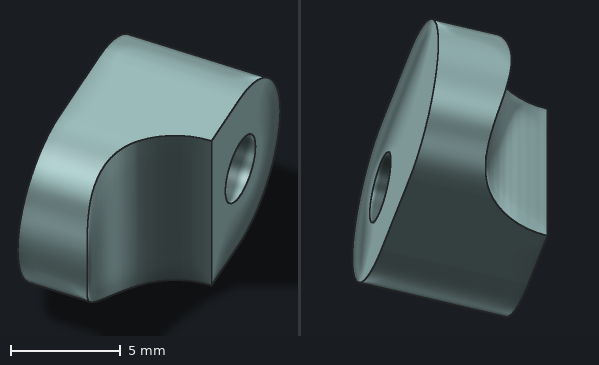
import cadquery as cq

length = 13.4
height = 9.0
thickness = 7.0
end_radius = height / 2

hole_diameter = 3.3
hole_y = 2.35
hole_z = 0.1

relief_radius = 3.99
relief_y = -4.8


def slot_block():
    """Block with both Y ends fully rounded, centred on the origin."""
    flat_half = length / 2 - end_radius
    return (
        cq.Workplane("YZ", origin=(-thickness / 2, 0, 0))
        .moveTo(-flat_half, -end_radius)
        .lineTo(flat_half, -end_radius)
        .threePointArc((length / 2, 0), (flat_half, end_radius))
        .lineTo(-flat_half, end_radius)
        .threePointArc((-length / 2, 0), (-flat_half, -end_radius))
        .close()
        .extrude(thickness)
    )


def through_hole():
    return (
        cq.Workplane("YZ", origin=(-thickness / 2, hole_y, hole_z))
        .circle(hole_diameter / 2)
        .extrude(thickness)
    )


def relief():
    return (
        cq.Workplane("XY", origin=(thickness / 2, relief_y, -height / 2))
        .circle(relief_radius)
        .extrude(height)
    )


result = slot_block().cut(through_hole()).cut(relief())